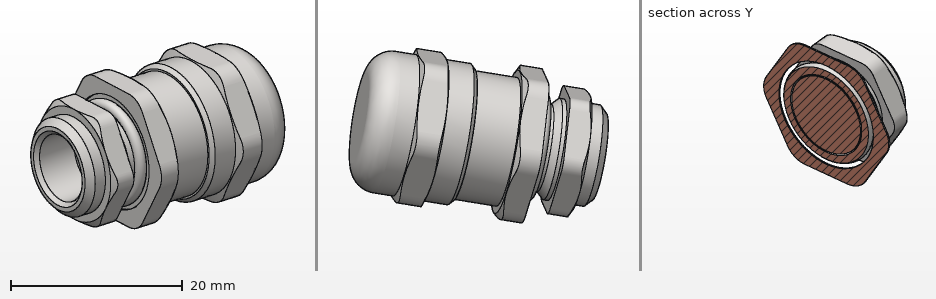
import cadquery as cq
import math

thread_length = 8.0
body_hex_length = 3.0
cap_start = 8.2
cap_hex_start = 11.7
cap_hex_length = 3.5
cap_end = 20.5

thread_diameter = 12.0
neck_diameter = 10.3
relief_length = 1.5
seal_ring_diameter = 13.0
seal_ring_tube_diameter = 1.4
seal_ring_projection = 1.0
seal_groove_diameter = 14.0
seal_groove_depth = 0.35
body_diameter = 15.2
cap_diameter = 16.7
cap_edge_radius = 3.0
cap_chamfer = 0.5
thread_chamfer = (thread_diameter - neck_diameter) / 2

large_across_flats = 17.0
large_corner_radius = 3.0
nut_across_flats = 14.0
nut_corner_radius = 2.0
nut_length = 2.8
nut_start = -5.65
nut_bevel_angle = 30.0
body_hex_bevel_diameter = 16.9
body_hex_bevel_angle = 30.0
cap_hex_bevel_angle = 20.0

bore_diameter = 8.2
bore_mouth_diameter = 9.2
bore_depth = 5.6


def revolve_profile(profile):
    """Turn a closed (radius, y) outline around the Y axis."""
    return profile.close().revolve(360, (0, 0, 0), (0, 1, 0))


def cylinder(diameter, start, end):
    radius = diameter / 2
    return revolve_profile(
        cq.Workplane("XY").moveTo(0, start).lineTo(radius, start).lineTo(radius, end).lineTo(0, end)
    )


def hexagon(across_flats, corner_radius, start, length):
    """Hexagonal prism along Y with flats facing +Z and -Z and rounded corners."""
    side_count = 6
    across_corners = across_flats / math.cos(math.pi / side_count)
    prism = cq.Workplane("XZ", origin=(0, start, 0)).polygon(side_count, across_corners).extrude(-length)
    return prism.edges("|Y").fillet(corner_radius)


def bevel_hexagon(prism, bevel_diameter, angle, face_y, inward):
    """Cut the corners of a hexagon with a cone that meets its end face at bevel_diameter.

    inward is +1 or -1, the Y direction from the end face into the prism.
    """
    start_radius = bevel_diameter / 2
    reach = large_across_flats
    drop = (reach - start_radius) * math.tan(math.radians(angle))
    envelope = revolve_profile(
        cq.Workplane("XY")
        .moveTo(0, face_y)
        .lineTo(start_radius, face_y)
        .lineTo(reach, face_y + inward * drop)
        .lineTo(reach, face_y + inward * reach)
        .lineTo(0, face_y + inward * reach)
    )
    return prism.intersect(envelope)


def threaded_entry():
    crest_radius = thread_diameter / 2
    root_radius = neck_diameter / 2
    relief_start = -relief_length
    return revolve_profile(
        cq.Workplane("XY")
        .moveTo(0, -thread_length)
        .lineTo(root_radius, -thread_length)
        .lineTo(crest_radius, -thread_length + thread_chamfer)
        .lineTo(crest_radius, relief_start - thread_chamfer)
        .lineTo(root_radius, relief_start)
        .lineTo(root_radius, seal_groove_depth)
        .lineTo(0, seal_groove_depth)
    )


def seal_ring():
    """O-ring around the neck, partly sunk into the groove of the body hexagon."""
    tube_radius = seal_ring_tube_diameter / 2
    center_radius = seal_ring_diameter / 2 - tube_radius
    center_y = tube_radius - seal_ring_projection
    section_plane = cq.Plane(origin=(center_radius, center_y, 0), xDir=(-1, 0, 0), normal=(0, 0, 1))
    section = cq.Workplane(section_plane).circle(tube_radius)
    return section.revolve(360, (center_radius, 0, 0), (center_radius, 1, 0))


def locknut():
    prism = hexagon(nut_across_flats, nut_corner_radius, nut_start, nut_length)
    return bevel_hexagon(prism, nut_across_flats, nut_bevel_angle, nut_start, 1)


def body_hexagon():
    prism = hexagon(large_across_flats, large_corner_radius, 0, body_hex_length)
    prism = bevel_hexagon(prism, body_hex_bevel_diameter, body_hex_bevel_angle, body_hex_length, -1)
    return prism.cut(cylinder(seal_groove_diameter, 0, seal_groove_depth))


def cap_hexagon():
    hex_end = cap_hex_start + cap_hex_length
    prism = hexagon(large_across_flats, large_corner_radius, cap_hex_start, cap_hex_length)
    prism = bevel_hexagon(prism, cap_diameter, cap_hex_bevel_angle, cap_hex_start, 1)
    return bevel_hexagon(prism, cap_diameter, cap_hex_bevel_angle, hex_end, -1)


def domed_cap():
    cap = cylinder(cap_diameter, cap_start, cap_end)
    cap = cap.faces(">Y").edges().fillet(cap_edge_radius)
    return cap.faces("<Y").edges().chamfer(cap_chamfer)


def cable_bore():
    radius = bore_diameter / 2
    mouth_radius = bore_mouth_diameter / 2
    mouth_depth = mouth_radius - radius
    floor_y = -thread_length + bore_depth
    return revolve_profile(
        cq.Workplane("XY")
        .moveTo(0, -thread_length)
        .lineTo(mouth_radius, -thread_length)
        .lineTo(radius, -thread_length + mouth_depth)
        .lineTo(radius, floor_y)
        .lineTo(0, floor_y)
    )


result = (
    threaded_entry()
    .union(locknut())
    .union(body_hexagon())
    .union(cylinder(body_diameter, seal_groove_depth, cap_start))
    .union(seal_ring())
    .union(domed_cap())
    .union(cap_hexagon())
    .cut(cable_bore())
)